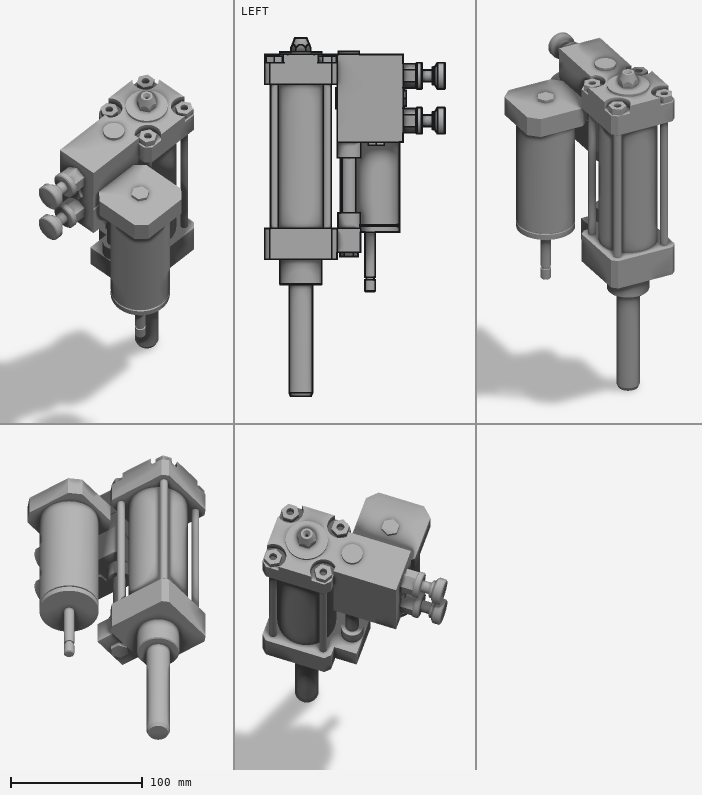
import cadquery as cq
import math


head_size = 55.0
head_half = head_size / 2
head_chamfer = 4.0
lower_head_bottom = 104.0
lower_head_top = 127.5
upper_head_bottom = 236.6
upper_head_top = 259.5
tube_diameter = 45.0
collar_diameter = 32.0
collar_bottom = 84.5
collar_chamfer = 0.8
boss_height = 2.0

tie_rod_diameter = 6.0
tie_rod_offset = 20.0
counterbore_diameter = 20.0
counterbore_depth = 6.5
nut_height = 5.2
hex_flats = 12.0

nipple_flats = 13.0
nipple_top = 272.0
nipple_top_diameter = 9.0
nipple_cone_slope = 0.4
nipple_countersink_diameter = 6.0
nipple_bore_diameter = 2.0
nipple_countersink_depth = 3.3
nipple_bore_depth = 6.5

lug_width = 32.0
lug_bottom = 109.3
lug_front = -45.5
lug_plug_height = 3.3

rod_diameter = 18.0
rod_tip_inset = 1.4
rod_tip_length = 3.0

block_width = 35.0
block_length = 50.0
block_height = 66.6
block_top = upper_head_top
block_bottom = block_top - block_height
block_back = -head_half
block_front = block_back - block_length
block_middle_z = (block_bottom + block_top) / 2
plug_height = 2.5
disc_diameter = 16.0
back_disc_height = 1.0
underside_plug_y = -57.0
pipe_diameter = 10.0
upper_socket_diameter = 18.0
pipe_y = block_back - upper_socket_diameter / 2
upper_socket_bottom = 181.0
lower_socket_diameter = 17.0
lower_socket_top = 139.3

knob_spacing = 34.0
knob_hex_flats = 16.0
knob_hex_length = 9.8
knob_diameter = 20.0
knob_chamfer = 0.8
knob_collar_length = 5.0
knob_stem_diameter = 9.0
knob_stem_length = 7.3
knob_neck_diameter = 14.0
knob_neck_length = 2.2
knob_cone_length = 1.4
knob_length = 32.0

reservoir_x = 42.7
reservoir_y = -52.5
cap_size = 51.7
cap_chamfer = 7.5
cap_bottom = 218.7
cap_top = 234.2
reservoir_diameter = 45.0
reservoir_bottom = 124.5
groove_diameter = 41.0
groove_bottom = 129.0
groove_top = 130.3
indicator_diameter = 8.0
indicator_bottom = 79.5
indicator_chamfer = 0.8
indicator_groove_diameter = 6.0
indicator_groove_bottom = 88.5
indicator_groove_top = 90.5


def corner_diameter(flats):
    return flats / math.cos(math.radians(30))


def upright_cylinder(diameter, bottom, top, x=0.0, y=0.0):
    return cq.Workplane("XY", origin=(x, y, bottom)).circle(diameter / 2).extrude(top - bottom)


def upright_hex(flats, bottom, top, x=0.0, y=0.0, turn=0.0):
    """Hexagon with two corners on the X direction, turned by the given angle."""
    hexagon = cq.Workplane("XY").polygon(6, corner_diameter(flats)).extrude(top - bottom)
    return hexagon.rotate((0, 0, 0), (0, 0, 1), turn).translate((x, y, bottom))


def square_plate(size, chamfer, bottom, top, x=0.0, y=0.0):
    plate = cq.Workplane("XY", origin=(x, y, bottom)).rect(size, size).extrude(top - bottom)
    return plate.edges("|Z").chamfer(chamfer)


def tie_rod_places():
    """Position of each tie rod, with the turn of its nut."""
    return [
        (sx * tie_rod_offset, sy * tie_rod_offset, 90 if sx == sy else 0)
        for sx in (-1, 1)
        for sy in (-1, 1)
    ]


def make_nipple(base):
    """Hexagon trimmed by a cone, with a countersunk bore in its top."""
    height = nipple_top - base
    top_radius = nipple_top_diameter / 2
    cone = (
        cq.Workplane("XZ")
        .polyline([
            (0, base),
            (top_radius + nipple_cone_slope * height, base),
            (top_radius, nipple_top),
            (0, nipple_top),
        ])
        .close()
        .revolve(360, (0, 0), (0, 1))
    )
    bore = (
        cq.Workplane("XZ")
        .polyline([
            (0, nipple_top),
            (nipple_countersink_diameter / 2, nipple_top),
            (nipple_bore_diameter / 2, nipple_top - nipple_countersink_depth),
            (nipple_bore_diameter / 2, nipple_top - nipple_bore_depth),
            (0, nipple_top - nipple_bore_depth),
        ])
        .close()
        .revolve(360, (0, 0), (0, 1))
    )
    return upright_hex(nipple_flats, base, nipple_top, turn=90).intersect(cone).cut(bore)


def make_lug():
    depth = block_back - lug_front
    lug = (
        cq.Workplane("XY", origin=(0, block_back - depth / 2, lug_bottom))
        .rect(lug_width, depth)
        .extrude(lower_head_top - lug_bottom)
    )
    return lug.union(upright_hex(hex_flats, lug_bottom - lug_plug_height, lug_bottom, y=pipe_y, turn=90))


def make_cylinder():
    """Both heads, tube, tie rods, nuts, lug and bleed nipple."""
    upper_head = square_plate(head_size, head_chamfer, upper_head_bottom, upper_head_top)
    counterbore_floor = upper_head_top - counterbore_depth
    for x, y, _ in tie_rod_places():
        upper_head = upper_head.cut(
            upright_cylinder(counterbore_diameter, counterbore_floor, upper_head_top, x, y)
        )

    collar = upright_cylinder(collar_diameter, collar_bottom, lower_head_bottom)
    collar = collar.faces("<Z").edges().chamfer(collar_chamfer)
    boss_top = upper_head_top + boss_height

    cylinder = (
        square_plate(head_size, head_chamfer, lower_head_bottom, lower_head_top)
        .union(make_lug())
        .union(collar)
        .union(upright_cylinder(tube_diameter, lower_head_top, upper_head_bottom))
        .union(upper_head)
        .union(upright_cylinder(collar_diameter, upper_head_top, boss_top))
        .union(make_nipple(boss_top))
    )
    for x, y, turn in tie_rod_places():
        nut_top = counterbore_floor + nut_height
        nut = upright_hex(hex_flats, counterbore_floor, nut_top, x, y, turn)
        nut = nut.cut(upright_cylinder(tie_rod_diameter, counterbore_floor, nut_top, x, y))
        tie_rod = upright_cylinder(tie_rod_diameter, lower_head_top, upper_head_bottom, x, y)
        cylinder = cylinder.union(nut).union(tie_rod)
    return cylinder


def make_piston_rod():
    rod = upright_cylinder(rod_diameter, 0, collar_bottom)
    return rod.faces("<Z").chamfer(rod_tip_length, rod_tip_inset)


def make_knob(z):
    """Hexagon, collar, stem and knob head along -Y from the front of the block."""
    hexagon = (
        cq.Workplane("XZ", origin=(0, block_front, z))
        .transformed(rotate=(0, 0, 90))
        .polygon(6, corner_diameter(knob_hex_flats))
        .extrude(knob_hex_length)
    )
    outer = knob_diameter / 2
    rim = outer - knob_chamfer
    stem = knob_stem_diameter / 2
    neck = knob_neck_diameter / 2
    collar_start = knob_hex_length
    collar_end = collar_start + knob_collar_length
    neck_start = collar_end + knob_stem_length
    neck_end = neck_start + knob_neck_length
    cone_end = neck_end + knob_cone_length
    turned = (
        cq.Workplane("XY")
        .polyline([
            (0, -collar_start),
            (rim, -collar_start),
            (outer, -collar_start - knob_chamfer),
            (outer, -collar_end + knob_chamfer),
            (rim, -collar_end),
            (stem, -collar_end),
            (stem, -neck_start),
            (neck - knob_chamfer, -neck_start),
            (neck, -neck_start - knob_chamfer),
            (neck, -neck_end),
            (rim, -cone_end),
            (outer, -cone_end - knob_chamfer),
            (outer, -knob_length + knob_chamfer),
            (rim, -knob_length),
            (0, -knob_length),
        ])
        .close()
        .revolve(360, (0, 0), (0, 1))
        .translate((0, block_front, z))
    )
    return hexagon.union(turned)


def make_plugs():
    """Hexagon plugs on the front and underside, round plugs on the top and back."""
    front = (
        cq.Workplane("XZ", origin=(0, block_front, block_middle_z))
        .polygon(6, corner_diameter(hex_flats))
        .extrude(plug_height)
    )
    back = (
        cq.Workplane("XZ", origin=(0, block_back + back_disc_height, block_middle_z))
        .circle(disc_diameter / 2)
        .extrude(back_disc_height)
    )
    underside = upright_hex(hex_flats, block_bottom - plug_height, block_bottom, y=underside_plug_y)
    top = upright_cylinder(disc_diameter, block_top, block_top + plug_height, y=pipe_y)
    return [front, back, underside, top]


def make_transfer_pipe():
    return (
        upright_cylinder(pipe_diameter, lower_socket_top, upper_socket_bottom, y=pipe_y)
        .union(upright_cylinder(upper_socket_diameter, upper_socket_bottom, block_bottom, y=pipe_y))
        .union(upright_cylinder(lower_socket_diameter, lower_head_top, lower_socket_top, y=pipe_y))
    )


def make_cap_slot():
    """Slot across the +X side of the block that takes the edge of the reservoir cap."""
    cap_edge = reservoir_x - cap_size / 2
    slot_depth = block_width / 2 - cap_edge
    return (
        cq.Workplane("XY", origin=(cap_edge + slot_depth / 2, block_back - block_length / 2, cap_bottom))
        .rect(slot_depth, block_length)
        .extrude(cap_top - cap_bottom)
    )


def make_valve_block():
    """Block with plugs, knobs and pipe, slotted where the reservoir cap meets its side."""
    block = (
        cq.Workplane("XY", origin=(0, block_back - block_length / 2, block_bottom))
        .rect(block_width, block_length)
        .extrude(block_height)
        .union(make_transfer_pipe())
    )
    for plug in make_plugs():
        block = block.union(plug)
    for side in (-1, 1):
        block = block.union(make_knob(block_middle_z + side * knob_spacing / 2))
    return block.cut(make_cap_slot())


def make_reservoir():
    place = (reservoir_x, reservoir_y)
    return (
        square_plate(cap_size, cap_chamfer, cap_bottom, cap_top, *place)
        .union(upright_hex(hex_flats, cap_top, cap_top + plug_height, *place))
        .union(upright_cylinder(reservoir_diameter, groove_top, cap_bottom, *place))
        .union(upright_cylinder(groove_diameter, groove_bottom, groove_top, *place))
        .union(upright_cylinder(reservoir_diameter, reservoir_bottom, groove_bottom, *place))
    )


def make_indicator_rod():
    place = (reservoir_x, reservoir_y)
    tip = upright_cylinder(indicator_diameter, indicator_bottom, indicator_groove_bottom, *place)
    return (
        tip.faces("<Z").edges().chamfer(indicator_chamfer)
        .union(upright_cylinder(
            indicator_groove_diameter, indicator_groove_bottom, indicator_groove_top, *place
        ))
        .union(upright_cylinder(indicator_diameter, indicator_groove_top, reservoir_bottom, *place))
    )


cylinder = make_cylinder()
piston_rod = make_piston_rod()
reservoir = make_reservoir()
valve_block = make_valve_block()
indicator_rod = make_indicator_rod()

result = cq.Compound.makeCompound([
    cylinder.solids().val(),
    piston_rod.solids().val(),
    valve_block.solids().val(),
    reservoir.solids().val(),
    indicator_rod.solids().val(),
])